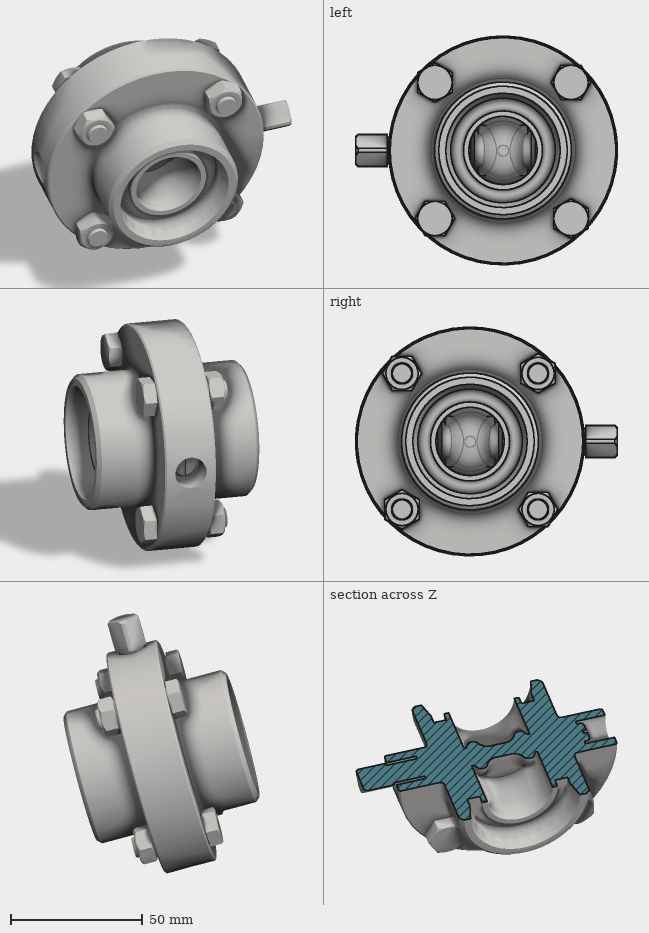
import cadquery as cq
import math


arc_inset = 1 - math.sqrt(0.5)

flange_diameter = 87.0
flange_width = 20.0
flange_half_width = flange_width / 2
flange_chamfer = 0.6
hub_diameter = 52.0
hub_end = 64.0 / 2
hub_chamfer = 1.6
hub_root_radius = 1.5

mouth_diameter = 43.5
socket_diameter = 39.8
mouth_depth = 7
socket_depth = 10.3
nozzle_diameter = 30.0
bore_diameter = 26.0

disc_flat_diameter = 4.2
disc_cone_diameter = 22.6
disc_centre_half = 3.4
disc_cone_slope = 0.1
boss_radius = 7.7
boss_nose = 7
boss_nose_radius = 2.5
boss_root_fillet = 4.5
boss_outer = 10.8
boss_shoulder = 12.3
boss_zone_half_height = 9.6
blend_plate_radius = 19.9
edge_tolerance = 0.1

stem_hole_diameter = 12.2
stem_hole_floor = 31.8
stem_diameter = 10.0
stem_tip_diameter = 8
stem_near_end = -34.3
stem_slot_width = 1.1
stem_slot_depth = 1.5
stem_overall_end = 99.5 - flange_diameter / 2
square_start = 44.0
square_size = 9.7
square_chamfer = 0.9

bolt_offset = 25.9
hex_across_flats = 13.0
hex_across_corners = hex_across_flats / math.cos(math.pi / 6)
washer_diameter = 11.4
washer_thickness = 0.5
head_thickness = 5
head_chamfer = 0.6
nut_thickness = 6.2
nut_inner_chamfer = 0.6
nut_outer_chamfer = 1.2
nut_face_diameter = 12.2
bolt_diameter = 8
bolt_tip_diameter = 7.4
bolt_tip_chamfer = 0.6
bolt_end = 18.1


def cylinder_x(diameter, start, length):
    """Cylinder along +X from the plane x = start."""
    return cq.Workplane("YZ", origin=(start, 0, 0)).circle(diameter / 2).extrude(length)


def cylinder_y(diameter, start, end):
    """Cylinder along Y between two Y positions."""
    return cq.Workplane("XZ", origin=(0, start, 0)).circle(diameter / 2).extrude(start - end)


def make_flange():
    flange = cylinder_x(flange_diameter, -flange_half_width, flange_width)
    return flange.faces("<X or >X").chamfer(flange_chamfer)


def make_hub():
    """Hub on the -X side with its root fillet, open socket and nozzle."""
    hub_radius = hub_diameter / 2
    bore_radius = bore_diameter / 2
    nozzle_radius = nozzle_diameter / 2
    socket_radius = socket_diameter / 2
    root_inset = hub_root_radius * arc_inset
    profile = (
        cq.Workplane("XY")
        .moveTo(0, bore_radius)
        .lineTo(-hub_end + mouth_depth, bore_radius)
        .lineTo(-hub_end + mouth_depth, nozzle_radius)
        .lineTo(-hub_end + socket_depth, nozzle_radius)
        .lineTo(-hub_end + socket_depth, socket_radius)
        .lineTo(-hub_end + mouth_depth, socket_radius)
        .lineTo(-hub_end, mouth_diameter / 2)
        .lineTo(-hub_end, hub_radius - hub_chamfer)
        .lineTo(-hub_end + hub_chamfer, hub_radius)
        .lineTo(-flange_half_width - hub_root_radius, hub_radius)
        .threePointArc(
            (-flange_half_width - root_inset, hub_radius + root_inset),
            (-flange_half_width, hub_radius + hub_root_radius),
        )
        .lineTo(0, hub_radius + hub_root_radius)
        .close()
    )
    return profile.revolve(360, (0, 0, 0), (1, 0, 0))


def disc_cone_half(radius):
    """Half thickness of the disc where its face is a shallow cone."""
    return disc_centre_half - disc_cone_slope * (radius - disc_flat_diameter / 2)


def make_rimmed_lens():
    """Half of the disc (x < 0), with its rounded rim and without bosses."""
    bore_radius = bore_diameter / 2
    cone_radius = disc_cone_diameter / 2
    rim_radius = bore_radius - cone_radius
    rim_inset = rim_radius * arc_inset
    rim_start = disc_cone_half(cone_radius)
    return (
        cq.Workplane("XY")
        .lineTo(-disc_centre_half, 0)
        .lineTo(-disc_centre_half, disc_flat_diameter / 2)
        .lineTo(-rim_start, cone_radius)
        .threePointArc(
            (-rim_start + rim_inset, bore_radius - rim_inset),
            (-rim_start + rim_radius, bore_radius),
        )
        .lineTo(0, bore_radius)
        .close()
        .revolve(360, (0, 0, 0), (1, 0, 0))
    )


def make_boss_quarter():
    """Boss for x < 0, y > 0, blended into an oversize disc and trimmed to the bore."""
    oversize = bore_diameter
    quarter_space = cq.Workplane("XY").box(oversize, oversize, 2 * oversize)
    quarter_space = quarter_space.translate((-oversize / 2, oversize / 2, 0))
    plate = (
        cq.Workplane("XY")
        .lineTo(-disc_centre_half, 0)
        .lineTo(-disc_centre_half, disc_flat_diameter / 2)
        .lineTo(-disc_cone_half(blend_plate_radius), blend_plate_radius)
        .lineTo(0, blend_plate_radius)
        .close()
        .revolve(360, (0, 0, 0), (1, 0, 0))
        .intersect(quarter_space)
    )
    barrel = cylinder_y(2 * boss_radius, boss_nose, oversize)
    barrel = barrel.faces("<Y").edges().fillet(boss_nose_radius).intersect(quarter_space)
    blended = plate.union(barrel, clean=False)

    def is_root(edge):
        """True for an edge where the barrel meets the conical face of the plate."""
        point = edge.Center()
        from_axis = math.hypot(point.y, point.z)
        along_barrel = boss_nose < point.y and abs(point.z) < boss_radius
        on_rim = from_axis > blend_plate_radius - edge_tolerance
        on_cone = abs(point.x + disc_cone_half(from_axis)) < edge_tolerance
        return along_barrel and on_cone and not on_rim

    root_edges = [edge for edge in blended.edges().vals() if is_root(edge)]
    blended = blended.newObject(root_edges).fillet(boss_root_fillet)

    crest = boss_nose + boss_nose_radius
    crest_core = boss_radius - boss_nose_radius
    round_angle = math.asin((boss_outer - crest) / boss_nose_radius)
    shoulder_cut = (
        cq.Workplane("XY")
        .moveTo(-boss_radius, crest)
        .threePointArc(
            (
                -crest_core - boss_nose_radius * math.cos(round_angle / 2),
                crest + boss_nose_radius * math.sin(round_angle / 2),
            ),
            (-crest_core - boss_nose_radius * math.cos(round_angle), boss_outer),
        )
        .lineTo(-stem_diameter / 2, boss_shoulder)
        .lineTo(-stem_diameter / 2, oversize)
        .lineTo(-oversize, oversize)
        .lineTo(-oversize, crest)
        .close()
        .revolve(360, (0, 0, 0), (0, 1, 0))
    )
    bore_core = cylinder_x(bore_diameter, -hub_end, 2 * hub_end)
    boss_zone = cq.Workplane("XY").box(2 * oversize, 2 * oversize, 2 * boss_zone_half_height)
    return blended.intersect(bore_core).intersect(boss_zone).cut(shoulder_cut)


def make_disc():
    lens = make_rimmed_lens()
    boss = make_boss_quarter()
    half_disc = lens.union(boss).union(boss.mirror("XZ"))
    return half_disc.union(half_disc.mirror("YZ"))


def make_stem():
    """Stem with a slotted near end and a square drive with rounded corners."""
    shaft = cylinder_y(stem_diameter, stem_near_end, square_start)
    shaft = shaft.faces("<Y").chamfer((stem_diameter - stem_tip_diameter) / 2)
    slot = cq.Workplane("XY").box(stem_slot_width, 2 * stem_slot_depth, stem_diameter)
    shaft = shaft.cut(slot.translate((0, stem_near_end, 0)))
    envelope = cylinder_y(stem_hole_diameter, square_start, stem_overall_end)
    envelope = envelope.faces(">Y").chamfer(square_chamfer)
    square = (
        cq.Workplane("XZ", origin=(0, square_start, 0))
        .transformed(rotate=(0, 0, 45))
        .rect(square_size, square_size)
        .extrude(square_start - stem_overall_end)
    )
    return shaft.union(square.intersect(envelope))


def hex_prism(start, length, start_chamfer, start_diameter, end_chamfer, end_diameter):
    """Hexagon along +X, points along Y, trimmed by a cone at each end.

    An end whose cone has no length is left square.
    """
    corner_radius = hex_across_corners / 2
    prism = (
        cq.Workplane("YZ", origin=(start, 0, 0))
        .polygon(6, hex_across_corners)
        .extrude(length)
    )
    end = start + length
    points = [
        (start, 0),
        (start, start_diameter / 2),
        (start + start_chamfer, corner_radius),
        (end - end_chamfer, corner_radius),
    ]
    if end_chamfer > 0:
        points.append((end, end_diameter / 2))
    points.append((end, 0))
    envelope = cq.Workplane("XY").polyline(points).close().revolve(360, (0, 0, 0), (1, 0, 0))
    return prism.intersect(envelope)


def make_bolt():
    """Bolt head, nut and washer faces around the X axis; the flange fills between."""
    clamp_half = flange_half_width + washer_thickness
    shank = cylinder_x(bolt_diameter, 0, bolt_end)
    tip_inset = (bolt_diameter - bolt_tip_diameter) / 2
    shank = shank.faces(">X").edges().chamfer(bolt_tip_chamfer, tip_inset)
    washers = cylinder_x(washer_diameter, -clamp_half, 2 * clamp_half)
    head = hex_prism(
        -clamp_half - head_thickness, head_thickness,
        head_chamfer, hex_across_flats, 0, hex_across_corners,
    )
    nut = hex_prism(
        clamp_half, nut_thickness,
        nut_inner_chamfer, hex_across_flats, nut_outer_chamfer, nut_face_diameter,
    )
    return shank.union(washers).union(head).union(nut)


hub = make_hub()
body = make_flange().cut(cylinder_x(bore_diameter, -hub_end, 2 * hub_end))
body = body.union(hub).union(hub.mirror("YZ"))

for side in (-1, 1):
    body = body.cut(cylinder_y(stem_hole_diameter, side * stem_hole_floor, side * flange_diameter / 2))

stem = make_stem().cut(cylinder_x(bore_diameter, -flange_half_width, flange_width))
result = body.union(make_disc()).union(stem)

bolt = make_bolt().translate((0, -bolt_offset, bolt_offset))
for quarter in range(4):
    result = result.union(bolt.rotate((0, 0, 0), (1, 0, 0), 90 * quarter))